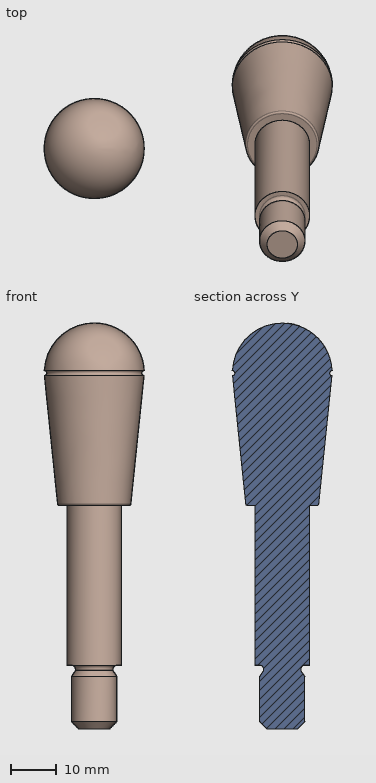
import cadquery as cq
import math

total_length = 89.0
dome_radius = 22.0 / 2
handle_length = 40.05
grip_top_radius = 10.95
handle_bottom_radius = 8.0
handle_edge_fillet = 0.45

groove_half_width = 0.5
groove_depth = 0.5

shank_radius = 12.0 / 2
pin_radius = 10.0 / 2
pin_shoulder_z = 14.0
pin_tip_radius = 6.7 / 2
pin_chamfer = pin_radius - pin_tip_radius

neck_radius = 8.3 / 2
neck_bottom_z = 12.8
neck_cone_height = 1.25

handle_bottom_z = total_length - handle_length
equator_z = total_length - dome_radius


def make_handle():
    """Tapered grip with a hemispherical top and a round-bottomed groove."""
    groove_top_z = equator_z + groove_half_width
    groove_top_radius = math.sqrt(dome_radius**2 - groove_half_width**2)
    dome_mid = dome_radius * math.sqrt(0.5)
    grip = (
        cq.Workplane("XZ")
        .moveTo(0, handle_bottom_z)
        .lineTo(handle_bottom_radius, handle_bottom_z)
        .lineTo(grip_top_radius, equator_z - groove_half_width)
        .threePointArc((dome_radius - groove_depth, equator_z), (groove_top_radius, groove_top_z))
        .threePointArc((dome_mid, equator_z + dome_mid), (0, total_length))
        .close()
        .revolve(360, (0, 0), (0, 1))
    )
    return grip.faces("<Z").edges().fillet(handle_edge_fillet)


def make_shank():
    """Stepped shank ending in a chamfered pin with a filleted undercut."""
    fillet = pin_radius - neck_radius
    fillet_mid = fillet * (1 - math.sqrt(0.5))
    return (
        cq.Workplane("XZ")
        .lineTo(pin_tip_radius, 0)
        .lineTo(pin_radius, pin_chamfer)
        .lineTo(pin_radius, neck_bottom_z - neck_cone_height)
        .lineTo(neck_radius, neck_bottom_z)
        .lineTo(neck_radius, pin_shoulder_z - fillet)
        .threePointArc(
            (neck_radius + fillet_mid, pin_shoulder_z - fillet_mid),
            (pin_radius, pin_shoulder_z),
        )
        .lineTo(shank_radius, pin_shoulder_z)
        .lineTo(shank_radius, handle_bottom_z)
        .lineTo(0, handle_bottom_z)
        .close()
        .revolve(360, (0, 0), (0, 1))
    )


result = make_handle().union(make_shank())